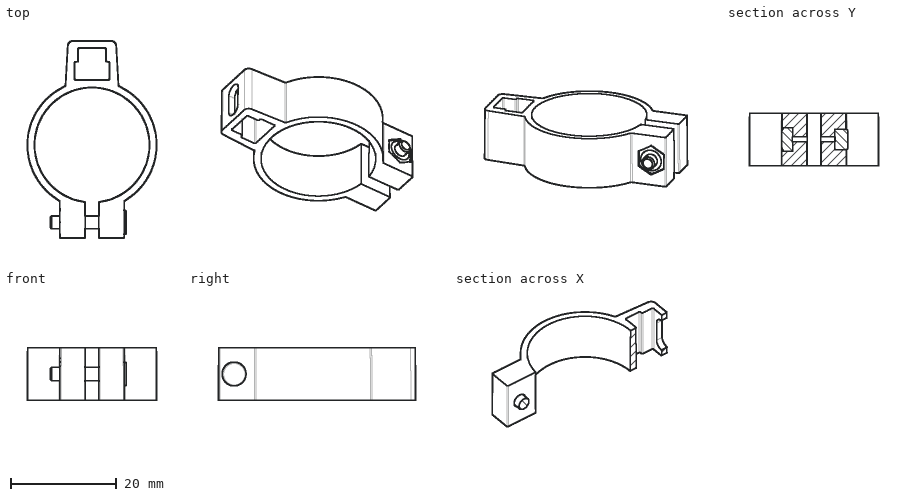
import cadquery as cq
import math

OVERALL_LENGTH = 37.3
HEIGHT = 10.0
MID_HEIGHT = HEIGHT / 2
DRAFT_ANGLE = 0.3
DRAFT_SHIFT = HEIGHT * math.tan(math.radians(DRAFT_ANGLE))

RING_BASE_RADIUS = 12.253
BORE_BASE_RADIUS = 10.85
JUNCTION_RADIUS = 0.35

LUG_HALF_WIDTH = 6.1
LUG_END_Y = -17.6
LUG_GAP = 2.57
LUG_EDGE_RADIUS = 0.22

SOCKET_END_Y = LUG_END_Y + OVERALL_LENGTH
SOCKET_ROOT_Y = 11.1
SOCKET_ROOT_HALF_WIDTH = 5.05
SOCKET_END_HALF_WIDTH = 4.55
SOCKET_CORNER_RADIUS = 1.0
OPENING_NEAR_Y = 12.27
OPENING_STEP_Y = 15.75
OPENING_FAR_Y = 18.35
OPENING_NEAR_HALF_WIDTH = 3.32
OPENING_FAR_HALF_WIDTH = 2.65
OPENING_CORNER_RADIUS = 0.22
END_SLOT_WIDTH = 3.0
END_SLOT_LENGTH = 7.15

BOLT_Y = -14.62
BOLT_DIAMETER = 2.5
BOLT_HOLE_DIAMETER = 2.7
BOLT_TIP_X = -7.9
BOLT_TIP_CHAMFER = 0.3
HEAD_DIAMETER = 4.5
HEAD_LENGTH = 2.5
HEAD_END_X = 6.45
HEAD_SEAT_X = HEAD_END_X - HEAD_LENGTH
HEAD_EDGE_RADIUS = 0.22

HEX_SIDES = 6
NUT_ACROSS_FLATS = 5.0
NUT_POCKET_ACROSS_FLATS = 5.1
NUT_FACE_X = -6.1
NUT_THICKNESS = 2.0
NUT_SEAT_X = NUT_FACE_X + NUT_THICKNESS
NUT_FACE_DIAMETER = 4.1
NUT_CHAMFER_ANGLE = 30

CUT_MARGIN = 3.73
EDGE_SEARCH_DEPTH = 0.37


def along_x(start_x):
    """Sketch plane on the bolt axis; its local y is Z and extrusions run toward +X."""
    return cq.Workplane("YZ", origin=(start_x, BOLT_Y, MID_HEIGHT))


def bolt_cylinder(diameter, start_x, end_x):
    return along_x(start_x).circle(diameter / 2).extrude(end_x - start_x)


def hexagon(across_flats, start_x, end_x):
    """Hexagonal prism on the bolt axis, with corners at its top and bottom."""
    across_corners = across_flats / math.cos(math.pi / HEX_SIDES)
    sketch = along_x(start_x).transformed(rotate=(0, 0, 90))
    return sketch.polygon(HEX_SIDES, across_corners).extrude(end_x - start_x)


def upright_cone(base_radius, top_radius):
    return cq.Workplane(cq.Solid.makeCone(base_radius, top_radius, HEIGHT))


def lug_block():
    """Both lugs as one drafted block that reaches into the ring."""
    return (
        cq.Workplane("XY")
        .moveTo(-LUG_HALF_WIDTH, LUG_END_Y)
        .lineTo(LUG_HALF_WIDTH, LUG_END_Y)
        .lineTo(LUG_HALF_WIDTH, 0)
        .lineTo(-LUG_HALF_WIDTH, 0)
        .close()
        .extrude(HEIGHT, taper=DRAFT_ANGLE)
    )


def socket_block():
    """Tapering block behind the ring, with rounded outer corners."""
    slope = (SOCKET_ROOT_HALF_WIDTH - SOCKET_END_HALF_WIDTH) / (SOCKET_END_Y - SOCKET_ROOT_Y)
    center_half_width = SOCKET_ROOT_HALF_WIDTH + slope * SOCKET_ROOT_Y
    block = (
        cq.Workplane("XY")
        .moveTo(-center_half_width, 0)
        .lineTo(center_half_width, 0)
        .lineTo(SOCKET_END_HALF_WIDTH, SOCKET_END_Y)
        .lineTo(-SOCKET_END_HALF_WIDTH, SOCKET_END_Y)
        .close()
        .extrude(HEIGHT, taper=DRAFT_ANGLE)
    )
    return block.faces(">Y").edges("not #Z").fillet(SOCKET_CORNER_RADIUS)


def opening_part(half_width, end_y):
    """Drafted opening from the ring side of the socket to end_y, widening toward the top."""
    length = end_y - OPENING_NEAR_Y
    return (
        cq.Workplane("XY", origin=(0, OPENING_NEAR_Y + length / 2, HEIGHT))
        .rect(2 * half_width, length)
        .extrude(-HEIGHT, taper=DRAFT_ANGLE)
    )


def socket_opening():
    """Stepped opening through the socket, narrower at its far end."""
    near_part = opening_part(OPENING_NEAR_HALF_WIDTH, OPENING_STEP_Y)
    far_part = opening_part(OPENING_FAR_HALF_WIDTH, OPENING_FAR_Y)
    return near_part.union(far_part).edges("not #Z").fillet(OPENING_CORNER_RADIUS)


def socket_end_slot():
    """Upright round-ended slot through the end wall of the socket."""
    middle_y = (OPENING_STEP_Y + OPENING_FAR_Y) / 2
    return (
        cq.Workplane("XZ", origin=(0, middle_y, MID_HEIGHT))
        .slot2D(END_SLOT_LENGTH, END_SLOT_WIDTH, 90)
        .extrude(middle_y - SOCKET_END_Y - CUT_MARGIN)
    )


def fillet_upright_edges(clamp, radius, y_min, y_max):
    """Round the upright edges whose middles lie between y_min and y_max."""

    def is_chosen(edge):
        upright = edge.BoundingBox().zlen > MID_HEIGHT
        return upright and y_min < edge.Center().y < y_max

    return clamp.newObject([edge for edge in clamp.edges().vals() if is_chosen(edge)]).fillet(radius)


def fillet_junctions(clamp):
    """Round the inside corners where the lugs and the socket grow out of the ring."""
    lug_junction_y = -math.sqrt(RING_BASE_RADIUS**2 - LUG_HALF_WIDTH**2)
    for junction_y in (lug_junction_y, SOCKET_ROOT_Y):
        y_range = (junction_y - EDGE_SEARCH_DEPTH, junction_y + EDGE_SEARCH_DEPTH)
        clamp = fillet_upright_edges(clamp, JUNCTION_RADIUS, *y_range)
    return clamp


def lug_gap():
    gap_length = -LUG_END_Y
    return cq.Workplane("XY").center(0, -gap_length / 2).rect(LUG_GAP, gap_length).extrude(HEIGHT)


def make_clamp():
    clamp = upright_cone(RING_BASE_RADIUS, RING_BASE_RADIUS - DRAFT_SHIFT)
    clamp = clamp.union(lug_block()).union(socket_block())
    clamp = fillet_junctions(clamp)
    clamp = clamp.cut(upright_cone(BORE_BASE_RADIUS, BORE_BASE_RADIUS + DRAFT_SHIFT))
    clamp = clamp.cut(lug_gap())
    clamp = fillet_upright_edges(clamp, LUG_EDGE_RADIUS, LUG_END_Y, LUG_END_Y + EDGE_SEARCH_DEPTH)
    clamp = clamp.cut(socket_opening()).cut(socket_end_slot())
    clamp = clamp.cut(bolt_cylinder(BOLT_HOLE_DIAMETER, NUT_FACE_X, HEAD_END_X))
    clamp = clamp.cut(bolt_cylinder(HEAD_DIAMETER, HEAD_SEAT_X, HEAD_END_X + CUT_MARGIN))
    return clamp.cut(hexagon(NUT_POCKET_ACROSS_FLATS, NUT_FACE_X - CUT_MARGIN, NUT_SEAT_X))


def make_nut():
    """Hexagonal nut whose outer face is chamfered to a circle."""
    cone_radius = NUT_FACE_DIAMETER / 2 + NUT_THICKNESS / math.tan(math.radians(NUT_CHAMFER_ANGLE))
    chamfer_cone = cq.Solid.makeCone(
        NUT_FACE_DIAMETER / 2,
        cone_radius,
        NUT_THICKNESS,
        pnt=cq.Vector(NUT_FACE_X, BOLT_Y, MID_HEIGHT),
        dir=cq.Vector(1, 0, 0),
    )
    return hexagon(NUT_ACROSS_FLATS, NUT_FACE_X, NUT_SEAT_X).intersect(cq.Workplane(chamfer_cone))


def make_bolt():
    shank = bolt_cylinder(BOLT_DIAMETER, BOLT_TIP_X, HEAD_SEAT_X).faces("<X").chamfer(BOLT_TIP_CHAMFER)
    head = bolt_cylinder(HEAD_DIAMETER, HEAD_SEAT_X, HEAD_END_X).faces(">X").edges().fillet(HEAD_EDGE_RADIUS)
    return shank.union(head).union(make_nut())


clamp = make_clamp()
bolt = make_bolt()
result = cq.Compound.makeCompound([clamp.solids().val(), bolt.solids().val()])